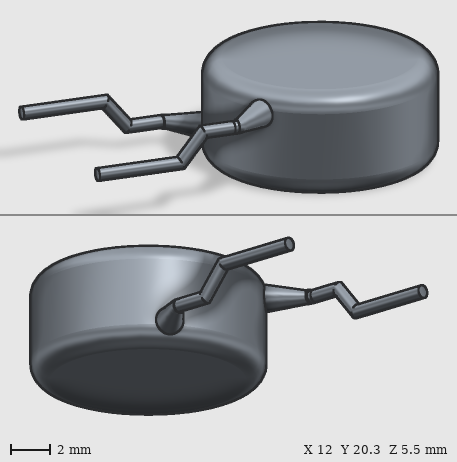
import cadquery as cq
import math

disc_diameter = 12.0
disc_radius = disc_diameter / 2
disc_thickness = 5.5
rim_radius = 1.0

overall_length = 20.3
wire_diameter = 0.67
lead_offset_x = 5.0
lead_offset_z = 1.5
elbow_y = -6.62
first_bend_y = -8.49
second_bend_y = -9.75
lead_end_y = disc_radius - overall_length
stub_length = 0.25

elbow_diameter = 0.73
elbow_radius = elbow_diameter / 2
elbow_center_x = 4.91
elbow_clearance = 0.02
elbow_bend_radius = elbow_radius + elbow_clearance
elbow_axis_x = elbow_center_x - elbow_bend_radius
elbow_angle = 37.5
cone_half_angle = 9.5
cone_length = 2.64


def make_housing():
    disc = cq.Workplane("XY").cylinder(disc_thickness, disc_radius)
    return disc.edges("%CIRCLE").fillet(rim_radius)


def round_bar(x, z, start_y, length):
    """Round bar of wire diameter running toward -Y."""
    plane = cq.Plane(origin=(x, start_y, z), xDir=(1, 0, 0), normal=(0, -1, 0))
    return cq.Workplane(plane).circle(wire_diameter / 2).extrude(length)


def make_wire(side, start_y):
    """Wire that steps to the mid plane through two sharp mitred bends."""
    x = side * lead_offset_x
    z = side * lead_offset_z
    path = cq.Workplane("YZ", origin=(x, 0, 0)).polyline(
        [(start_y, z), (first_bend_y, z), (second_bend_y, 0), (lead_end_y, 0)]
    )
    section = cq.Workplane("XZ", origin=(x, start_y, z)).circle(wire_diameter / 2)
    return section.sweep(path, transition="right")


def make_termination(side, housing, stub):
    """Elbow and cone, plus a straight stub of the given length (0 for none)."""
    z = side * lead_offset_z
    angle = math.radians(elbow_angle)

    elbow = (
        cq.Workplane("XZ", origin=(side * elbow_center_x, elbow_y, z))
        .circle(elbow_radius)
        .revolve(elbow_angle, (-side * elbow_bend_radius, 0, 0), (-side * elbow_bend_radius, side, 0))
    )

    tip = cq.Vector(
        side * (elbow_axis_x + elbow_bend_radius * math.cos(angle)),
        elbow_y + elbow_bend_radius * math.sin(angle),
        z,
    )
    direction = cq.Vector(-side * math.sin(angle), math.cos(angle), 0)
    base_radius = elbow_radius + cone_length * math.tan(math.radians(cone_half_angle))
    cone = cq.Solid.makeCone(elbow_radius, base_radius, cone_length, tip, direction)

    termination = elbow.union(cq.Workplane(cone)).cut(housing)
    if stub > 0:
        termination = termination.union(round_bar(side * lead_offset_x, z, elbow_y, stub))
    return termination


housing = make_housing()
bodies = [housing.val()]
for side, stub in [(-1, 0), (1, stub_length)]:
    termination = make_termination(side, housing, stub)
    wire = make_wire(side, elbow_y - stub)
    bodies += [*termination.vals(), *wire.vals()]

result = cq.Compound.makeCompound(bodies)